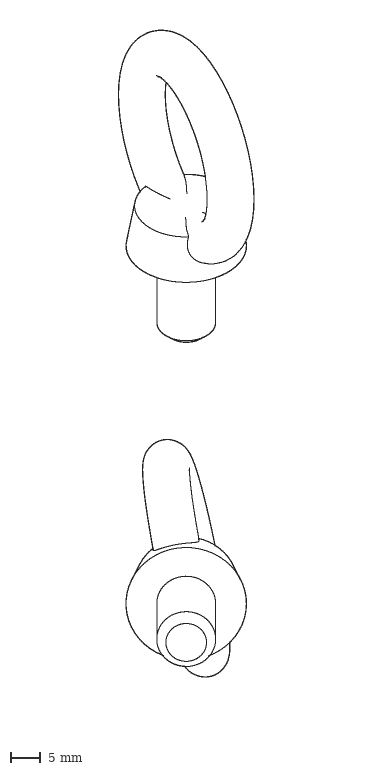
import cadquery as cq

total_height = 59.5
ring_outer_diameter = 40.9
ring_bar_diameter = 8.0
collar_base_diameter = 20.45
collar_top_diameter = 17.55
shank_diameter = 10.0
shank_length = 17.95
tip_chamfer = 1.55

ring_outer_radius = ring_outer_diameter / 2
ring_bar_radius = ring_bar_diameter / 2
ring_centre_radius = ring_outer_radius - ring_bar_radius
ring_centre_z = total_height - ring_outer_radius
collar_top_z = ring_centre_z - (ring_centre_radius - ring_bar_radius)


def make_ring():
    """Round bar bent into a full circle about the Y direction."""
    ring = cq.Solid.makeTorus(
        ring_centre_radius,
        ring_bar_radius,
        cq.Vector(0, 0, ring_centre_z),
        cq.Vector(0, 1, 0),
    )
    return cq.Workplane(obj=ring)


def make_collar():
    """Collar that narrows from the shank shoulder to its flat top."""
    collar = cq.Solid.makeCone(
        collar_base_diameter / 2,
        collar_top_diameter / 2,
        collar_top_z - shank_length,
        cq.Vector(0, 0, shank_length),
    )
    return cq.Workplane(obj=collar)


def make_shank():
    """Plain cylindrical shank with a chamfered tip."""
    shank = cq.Workplane("XY").circle(shank_diameter / 2).extrude(shank_length)
    return shank.faces("<Z").chamfer(tip_chamfer)


result = make_collar().union(make_ring()).union(make_shank())